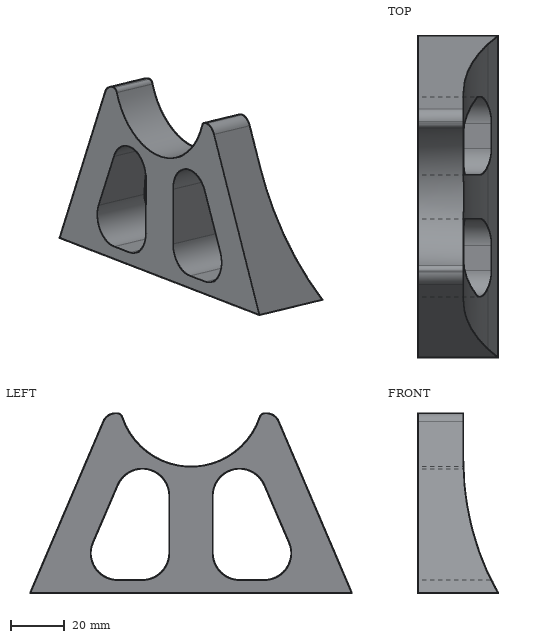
import cadquery as cq
import math

length = 120.0
base_thickness = 30.0
top_thickness = 17.0
height = 67.1
side_angle = 66.9

flare_start_x = 26.0
flare_start_z = 7.7
arc_top_z = 49.2

saddle_radius = 27.0
saddle_bottom_z = 47.2
saddle_center_z = saddle_bottom_z + saddle_radius
horn_outer_radius = 5.0
horn_inner_radius = 2.0

window_radius = 10.0
window_inner_y = 8.2
window_bottom_z = 4.9
window_top_z = 46.3
window_foot_width = 9.2


def make_block():
    """Extrude the thickness profile along the full length."""
    run = flare_start_x - top_thickness
    drop = arc_top_z - flare_start_z
    radius = (run**2 + drop**2) / (2 * run)
    half_sweep = math.asin(drop / radius) / 2
    arc_middle = (
        top_thickness + radius * (1 - math.cos(half_sweep)),
        arc_top_z - radius * math.sin(half_sweep),
    )
    return (
        cq.Workplane("XZ")
        .moveTo(0, 0)
        .lineTo(base_thickness, 0)
        .lineTo(flare_start_x, flare_start_z)
        .threePointArc(arc_middle, (top_thickness, arc_top_z))
        .lineTo(top_thickness, height)
        .lineTo(0, height)
        .close()
        .extrude(length / 2, both=True)
    )


def make_outline():
    """Trapezoid with rounded horns either side of a round saddle."""
    side_lean = math.radians(90 - side_angle)
    normal = (math.cos(side_lean), math.sin(side_lean))
    outer_z = height - horn_outer_radius
    outer_y = (length / 2 * normal[0] - horn_outer_radius - outer_z * normal[1]) / normal[0]
    half_turn = (math.pi / 2 - side_lean) / 2 + side_lean
    outer_start = (
        outer_y + horn_outer_radius * normal[0],
        outer_z + horn_outer_radius * normal[1],
    )
    outer_middle = (
        outer_y + horn_outer_radius * math.cos(half_turn),
        outer_z + horn_outer_radius * math.sin(half_turn),
    )
    inner_z = height - horn_inner_radius
    center_rise = saddle_center_z - inner_z
    reach = saddle_radius + horn_inner_radius
    inner_y = math.sqrt(reach**2 - center_rise**2)
    toward_saddle = math.atan2(center_rise, -inner_y)
    inner_turn = (math.pi / 2 + toward_saddle) / 2
    inner_middle = (
        inner_y + horn_inner_radius * math.cos(inner_turn),
        inner_z + horn_inner_radius * math.sin(inner_turn),
    )
    saddle_end = (
        inner_y + horn_inner_radius * math.cos(toward_saddle),
        inner_z + horn_inner_radius * math.sin(toward_saddle),
    )

    def mirrored(point):
        return (-point[0], point[1])

    return (
        cq.Workplane("YZ")
        .moveTo(-length / 2, 0)
        .lineTo(length / 2, 0)
        .lineTo(*outer_start)
        .threePointArc(outer_middle, (outer_y, height))
        .lineTo(inner_y, height)
        .threePointArc(inner_middle, saddle_end)
        .threePointArc((0, saddle_bottom_z), mirrored(saddle_end))
        .threePointArc(mirrored(inner_middle), (-inner_y, height))
        .lineTo(-outer_y, height)
        .threePointArc(mirrored(outer_middle), mirrored(outer_start))
        .close()
        .extrude(base_thickness)
    )


def make_window(side):
    """Rounded window on the +Y (side=1) or -Y (side=-1) half."""
    inner_y = window_inner_y + window_radius
    outer_y = inner_y + window_foot_width
    low_z = window_bottom_z + window_radius
    high_z = window_top_z - window_radius
    lean = math.atan2(window_foot_width, high_z - low_z)

    def on_corner(center_y, center_z, angle):
        return (
            side * (center_y + window_radius * math.cos(angle)),
            center_z + window_radius * math.sin(angle),
        )

    down = -math.pi / 2
    return (
        cq.Workplane("YZ")
        .moveTo(*on_corner(inner_y, low_z, down))
        .lineTo(*on_corner(outer_y, low_z, down))
        .threePointArc(
            on_corner(outer_y, low_z, (down + lean) / 2),
            on_corner(outer_y, low_z, lean),
        )
        .lineTo(*on_corner(inner_y, high_z, lean))
        .threePointArc(
            on_corner(inner_y, high_z, (lean + math.pi) / 2),
            on_corner(inner_y, high_z, math.pi),
        )
        .lineTo(*on_corner(inner_y, low_z, math.pi))
        .threePointArc(
            on_corner(inner_y, low_z, 1.25 * math.pi),
            on_corner(inner_y, low_z, down),
        )
        .close()
        .extrude(base_thickness)
    )


result = make_block().intersect(make_outline())
for side in (-1, 1):
    result = result.cut(make_window(side))